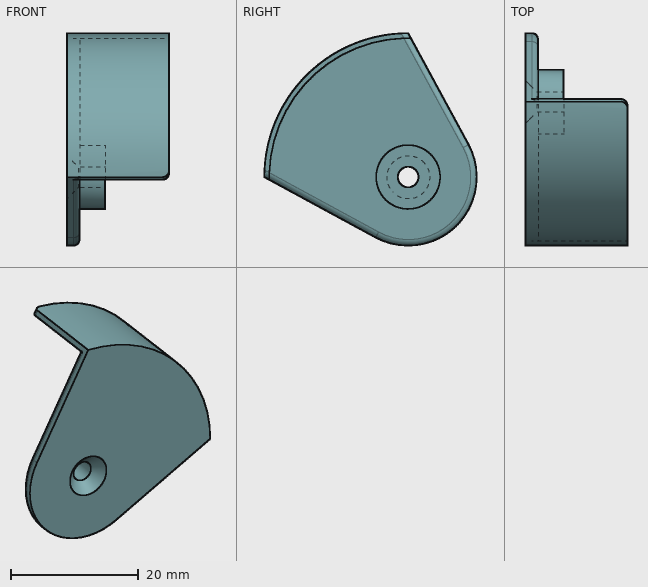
import cadquery as cq
import math

overall_size = 33.27
hub_radius = 10.75
sector_radius = overall_size - hub_radius
total_height = 16.0
plate_thickness = 2.0
wall_thickness = 0.8
edge_fillet = 1.0
boss_diameter = 10.0
boss_top = 6.0
hole_diameter = 3.2
countersink_diameter = 6.72
countersink_angle = 90.0


def rounded_sector(height):
    """Quarter sector with sides tangent to the hub, rounded along its hub and side edges."""
    tangent_along = hub_radius**2 / sector_radius
    tangent_across = math.sqrt(hub_radius**2 - tangent_along**2)
    diagonal = math.sqrt(0.5)
    body = (
        cq.Workplane("YZ")
        .moveTo(0, sector_radius)
        .threePointArc(
            (-sector_radius * diagonal, sector_radius * diagonal),
            (-sector_radius, 0),
        )
        .lineTo(-tangent_along, -tangent_across)
        .threePointArc(
            (hub_radius * diagonal, -hub_radius * diagonal),
            (tangent_across, tangent_along),
        )
        .close()
        .extrude(height)
    )
    outer_arc_midpoint = (height, -sector_radius * diagonal, sector_radius * diagonal)
    top_edges = body.faces(">X").edges()
    outer_arc = top_edges.edges(cq.NearestToPointSelector(outer_arc_midpoint)).val()
    rounded_edges = [edge for edge in top_edges.vals() if not edge.isSame(outer_arc)]
    return body.newObject(rounded_edges).fillet(edge_fillet)


plate = rounded_sector(plate_thickness)

wall_core = cq.Workplane("YZ").circle(sector_radius - wall_thickness).extrude(total_height)
wall = rounded_sector(total_height).cut(wall_core)

boss = cq.Workplane("YZ").circle(boss_diameter / 2).extrude(boss_top)

hole = cq.Workplane("YZ").circle(hole_diameter / 2).extrude(boss_top)
countersink_depth = (countersink_diameter - hole_diameter) / 2 / math.tan(math.radians(countersink_angle / 2))
countersink = cq.Workplane("XY").add(
    cq.Solid.makeCone(
        countersink_diameter / 2,
        hole_diameter / 2,
        countersink_depth,
        dir=cq.Vector(1, 0, 0),
    )
)

result = plate.union(wall).union(boss).cut(hole).cut(countersink)